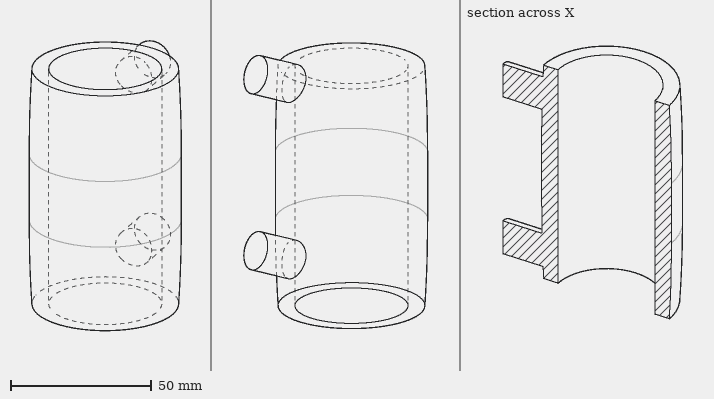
import cadquery as cq
import math

length = 90.0
middle_length = 25.2
middle_diameter = 54.4
end_diameter = 52.4
bore_diameter = 40.3

pin_diameter = 14.0
pin_reach = 43.0
pin_inset = 12.0

half_length = length / 2
half_middle = middle_length / 2
middle_radius = middle_diameter / 2
end_radius = end_diameter / 2
bore_radius = bore_diameter / 2


def barrel_midpoint():
    """Middle of the upper crowned arc, which starts tangent to the straight band."""
    run = half_length - half_middle
    drop = middle_radius - end_radius
    arc_radius = (run**2 + drop**2) / (2 * drop)
    half_angle = math.asin(run / arc_radius) / 2
    radius = middle_radius - arc_radius * (1 - math.cos(half_angle))
    height = half_middle + arc_radius * math.sin(half_angle)
    return radius, height


def make_sleeve():
    """Straight middle band with a crowned taper towards each end, bored through."""
    arc_r, arc_z = barrel_midpoint()
    return (
        cq.Workplane("XZ")
        .moveTo(bore_radius, -half_length)
        .lineTo(end_radius, -half_length)
        .threePointArc((arc_r, -arc_z), (middle_radius, -half_middle))
        .lineTo(middle_radius, half_middle)
        .threePointArc((arc_r, arc_z), (end_radius, half_length))
        .lineTo(bore_radius, half_length)
        .close()
        .revolve(360, (0, 0, 0), (0, 1, 0))
    )


def make_pin(height):
    """Solid round pin, rooted inside the sleeve wall without entering the bore."""
    root = (bore_radius + end_radius) / 2
    return (
        cq.Workplane("XZ", origin=(0, root, height))
        .circle(pin_diameter / 2)
        .extrude(root - pin_reach)
    )


pin_height = half_length - pin_inset
result = make_sleeve()
for side in (-1, 1):
    result = result.union(make_pin(side * pin_height))